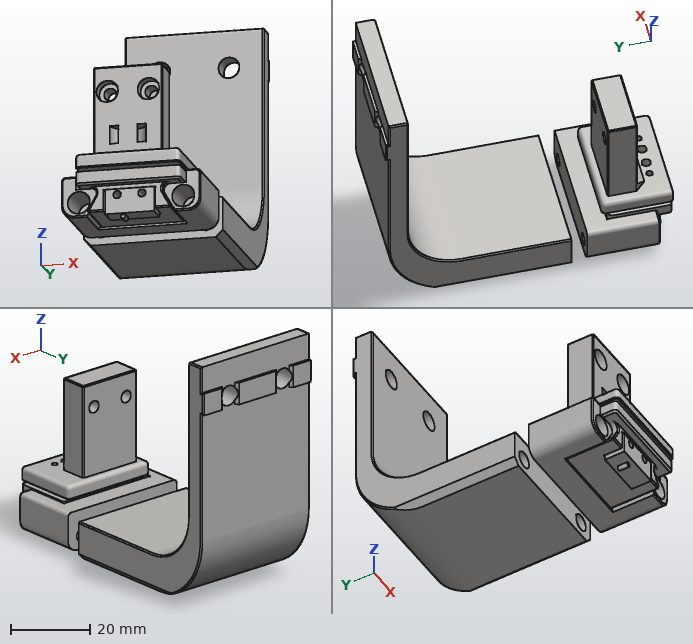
import cadquery as cq
import math


arm_width = 36.2
arm_height = 66.7
arm_back = 47.5
upright_thickness = 5.2
foot_thickness = 10.5
inner_bend_radius = 14.0
outer_bend_radius = inner_bend_radius + upright_thickness
arm_front = arm_back - upright_thickness
bend_y = arm_front - inner_bend_radius
arm_top_fillet = 1.0
arm_edge_chamfer = 0.4
foot_chamfer = 1.8
arm_hole_diameter = 5.4
arm_hole_spacing = 18.0
arm_hole_drop = 9.95
arm_hole_z = arm_height - arm_hole_drop
key_height = 5.9
key_depth = 0.75
key_gap_width = 4.25
key_bottom = arm_hole_z - key_height / 2

bolt_spacing = 27.2
bolt_z = 4.6
insert_diameter = 4.7
insert_z = 4.25
insert_depth = 9.9

screw_diameter = 3.2
dock_head_diameter = 5.8
mount_head_diameter = 5.6

dock_width = arm_width
dock_back = -4.1
dock_front = -23.1
dock_bottom = 0.8
dock_top = 11.55
dock_top_fillet = 1.15
dock_bottom_fillet = 3.2
dock_front_chamfer = 0.4
dock_head_depth = 11.4
pocket_width = 28.7
pocket_back = -10.0

probe_x = 0.15
plate_width = 27.2
plate_front = -27.3
plate_back = -10.8
plate_thickness = 3.5
plate_bottom = dock_top - plate_thickness
plate_fillet = 1.0
plate_bottom_chamfer = 0.5
dovetail_neck = 14.7
dovetail_angle = 30
dovetail_root_fillet = 1.7
dovetail_foot_chamfer = 0.5
dovetail_front = -25.0
dovetail_bottom = 1.45
dovetail_front_chamfer = 0.4
switch_recess_width = 13.6

switch_width = 12.75
switch_depth = 5.8
switch_height = 6.45
switch_bottom = 0.5
switch_front = -25.2
switch_hole_diameter = 2.0
switch_hole_spacing = 6.45
switch_hole_z = 5.5
button_x = -1.9
button_width = 1.2
button_length = 2.9
button_tip = -0.45
button_seat_depth = 0.75

flange_width = 27.2
flange_back = -9.05
flange_front = arm_back + key_depth - 75.95
flange_bottom = 12.45
flange_top = 16.2
flange_fillet = 1.15
flange_bottom_chamfer = 0.3
contact_y = -23.2
inner_contact_diameter = 2.35
inner_contact_spacing = 4.6
outer_contact_diameter = 1.6
outer_contact_spacing = 12.0
block_x = -1.9
block_width = 17.9
block_back = -11.1
block_depth = 7.75
block_front = block_back - block_depth
block_top = 41.1
block_chamfer = 0.3
gusset_size = 2.4
mount_screw_spacing = 10.7
mount_screw_z = 34.6
mount_head_depth = 3.05
tie_slot_width = 2.2
tie_slot_spacing = 7.15
tie_slot_height = 4.7
tie_slot_z = 23.2


def box(x_middle, width, y_front, y_back, z_bottom, z_top):
    size = (width, y_back - y_front, z_top - z_bottom)
    corner = (x_middle - width / 2, y_front, z_bottom)
    return cq.Workplane("XY").box(*size, centered=False).translate(corner)


def y_cylinder(x, y_front, z, diameter, length):
    """A cylinder that runs from y_front toward +Y."""
    return cq.Workplane("XZ", origin=(x, y_front, z)).circle(diameter / 2).extrude(-length)


def counterbored_hole(x, y_front, z, length, head_diameter, head_depth):
    shank = y_cylinder(x, y_front, z, screw_diameter, length)
    head = y_cylinder(x, y_front, z, head_diameter, head_depth)
    return shank.union(head)


def mirrored(spacing, middle=0.0):
    return [middle - spacing / 2, middle + spacing / 2]


def key_gap(x):
    """Flared gap that keeps the key clear of the mouth of a hole."""
    return (
        cq.Workplane("XY", origin=(x, arm_back, key_bottom))
        .moveTo(-key_gap_width / 2, 0)
        .lineTo(key_gap_width / 2, 0)
        .lineTo(key_gap_width / 2 + key_depth, key_depth)
        .lineTo(-key_gap_width / 2 - key_depth, key_depth)
        .close()
        .extrude(key_height)
    )


def foot_corner_cut(side):
    """Wedge along the lower corner of the foot; side is -1 or 1."""
    return (
        cq.Workplane("XZ")
        .moveTo(side * arm_width / 2, 0)
        .lineTo(side * (arm_width / 2 - foot_chamfer), 0)
        .lineTo(side * arm_width / 2, foot_chamfer)
        .close()
        .extrude(-arm_back)
    )


def make_arm():
    key_back = arm_back + key_depth
    profile = (
        cq.Workplane("YZ", origin=(-arm_width / 2, 0, 0))
        .lineTo(bend_y, 0)
        .radiusArc((arm_back, outer_bend_radius), -outer_bend_radius)
        .lineTo(arm_back, key_bottom)
        .lineTo(key_back, key_bottom)
        .lineTo(key_back, key_bottom + key_height)
        .lineTo(arm_back, key_bottom + key_height)
        .lineTo(arm_back, arm_height)
        .lineTo(arm_front, arm_height)
        .lineTo(arm_front, foot_thickness + inner_bend_radius)
        .radiusArc((bend_y, foot_thickness), inner_bend_radius)
        .lineTo(0, foot_thickness)
        .close()
    )
    arm = profile.extrude(arm_width)
    arm = arm.faces(">Z").edges("<Y").fillet(arm_top_fillet)
    arm = arm.faces("<X or >X").edges("not(<Y or <Z)").chamfer(arm_edge_chamfer)
    for side in (-1, 1):
        arm = arm.cut(foot_corner_cut(side))
    for x in mirrored(arm_hole_spacing):
        arm = arm.cut(key_gap(x))
        arm = arm.cut(y_cylinder(x, arm_front, arm_hole_z, arm_hole_diameter, key_back - arm_front))
    for x in mirrored(bolt_spacing):
        arm = arm.cut(y_cylinder(x, 0, insert_z, insert_diameter, insert_depth))
    return arm


def dovetail(y_front, y_back, bottom):
    """Dovetail with round roots; its top reaches halfway up into the plate above."""
    sine = math.sin(math.radians(dovetail_angle))
    cosine = math.cos(math.radians(dovetail_angle))
    neck = dovetail_neck / 2
    root_reach = dovetail_root_fillet / math.tan(math.radians(45 - dovetail_angle / 2))
    flank_length = (plate_bottom - bottom) / cosine
    foot = neck + flank_length * sine
    foot_start = flank_length - dovetail_foot_chamfer
    top = plate_bottom + plate_thickness / 2
    half = (
        cq.Workplane("XZ", origin=(0, y_front, 0))
        .moveTo(0, top)
        .lineTo(neck + root_reach, top)
        .lineTo(neck + root_reach, plate_bottom)
        .radiusArc((neck + root_reach * sine, plate_bottom - root_reach * cosine), -dovetail_root_fillet)
        .lineTo(neck + foot_start * sine, plate_bottom - foot_start * cosine)
        .lineTo(foot - dovetail_foot_chamfer, bottom)
        .lineTo(0, bottom)
        .close()
        .extrude(y_front - y_back)
    )
    return half.union(half.mirror("YZ"))


def make_dock():
    dock = box(0, dock_width, dock_front, dock_back, dock_bottom, dock_top)
    dock = dock.faces(">Z").edges("|Y").fillet(dock_top_fillet)
    dock = dock.faces("<Z").edges("|Y").fillet(dock_bottom_fillet)
    dock = dock.faces("<Y").edges().chamfer(dock_front_chamfer)
    dock = dock.cut(box(0, pocket_width, dock_front, pocket_back, plate_bottom, dock_top))
    dock = dock.cut(dovetail(dock_front, plate_back, 0))
    for x in mirrored(bolt_spacing):
        dock = dock.cut(
            counterbored_hole(x, dock_front, bolt_z, dock_back - dock_front, dock_head_diameter, dock_head_depth)
        )
    return dock


def make_probe():
    plate = box(probe_x, plate_width, plate_front, plate_back, plate_bottom, dock_top)
    plate = plate.edges("|Z").fillet(plate_fillet)
    plate = plate.faces("<Z").edges().chamfer(plate_bottom_chamfer)
    tail = dovetail(dovetail_front, plate_back, dovetail_bottom)
    tail = tail.faces("<Y").edges("not(>Z or |Z)").chamfer(dovetail_front_chamfer)
    probe = plate.union(tail)
    recess = box(0, switch_recess_width, dovetail_front, switch_front + switch_depth,
                 dock_bottom, switch_bottom + switch_height)
    return probe.cut(recess)


def make_button():
    length_middle = switch_front + switch_depth / 2
    radius = button_width / 2
    straight_bottom = button_tip + radius
    return (
        cq.Workplane("XZ", origin=(button_x, length_middle, 0))
        .moveTo(-radius, switch_bottom + button_seat_depth)
        .lineTo(-radius, straight_bottom)
        .threePointArc((0, button_tip), (radius, straight_bottom))
        .lineTo(radius, switch_bottom + button_seat_depth)
        .close()
        .extrude(button_length / 2, both=True)
    )


def make_switch(button):
    switch = box(probe_x, switch_width, switch_front, switch_front + switch_depth,
                 switch_bottom, switch_bottom + switch_height)
    for x in mirrored(switch_hole_spacing, probe_x):
        switch = switch.cut(y_cylinder(x, switch_front, switch_hole_z, switch_hole_diameter, switch_depth))
    return switch.cut(button)


def gusset():
    """Sloped foot in front of the block, narrowing at 45 degrees in plan."""
    half = block_width / 2 - block_chamfer
    plan = (
        cq.Workplane("XY", origin=(block_x, block_front, flange_top))
        .moveTo(-half, 0)
        .lineTo(half, 0)
        .lineTo(half - gusset_size, -gusset_size)
        .lineTo(gusset_size - half, -gusset_size)
        .close()
        .extrude(gusset_size)
    )
    slope = (
        cq.Workplane("YZ", origin=(block_x - half, block_front, flange_top))
        .lineTo(-gusset_size, 0)
        .lineTo(0, gusset_size)
        .close()
        .extrude(2 * half)
    )
    return plan.intersect(slope)


def tie_channel():
    """Curved channel that enters one slot in the block's front and leaves by the other."""
    middle_radius = tie_slot_spacing / 2
    ring = (
        cq.Workplane("XY", origin=(block_x, block_front, tie_slot_z - tie_slot_height / 2))
        .circle(middle_radius + tie_slot_width / 2)
        .circle(middle_radius - tie_slot_width / 2)
        .extrude(tie_slot_height)
    )
    return ring


def make_mount():
    flange = box(probe_x, flange_width, flange_front, flange_back, flange_bottom, flange_top)
    flange = flange.edges("|Z").fillet(flange_fillet)
    flange = flange.faces(">Z").edges().fillet(flange_fillet)
    flange = flange.faces("<Z").edges().chamfer(flange_bottom_chamfer)
    block = box(block_x, block_width, block_front, block_back, flange_top, block_top)
    block = block.edges("|Z").chamfer(block_chamfer).faces(">Z").edges().chamfer(block_chamfer)
    block = block.cut(tie_channel())
    for x in mirrored(mount_screw_spacing, block_x):
        block = block.cut(
            counterbored_hole(x, block_front, mount_screw_z, block_depth, mount_head_diameter, mount_head_depth)
        )
    mount = flange.union(block).union(gusset())
    contacts = [(inner_contact_spacing, inner_contact_diameter), (outer_contact_spacing, outer_contact_diameter)]
    for spacing, diameter in contacts:
        for x in mirrored(spacing, probe_x):
            hole = cq.Workplane("XY", origin=(x, contact_y, flange_bottom)).circle(diameter / 2)
            mount = mount.cut(hole.extrude(flange_top - flange_bottom))
    return mount


arm = make_arm()
dock = make_dock()
probe = make_probe()
button = make_button()
switch = make_switch(button)
mount = make_mount()

result = cq.Compound.makeCompound(
    [arm.val(), dock.val(), probe.val(), switch.val(), button.val(), mount.val()]
)